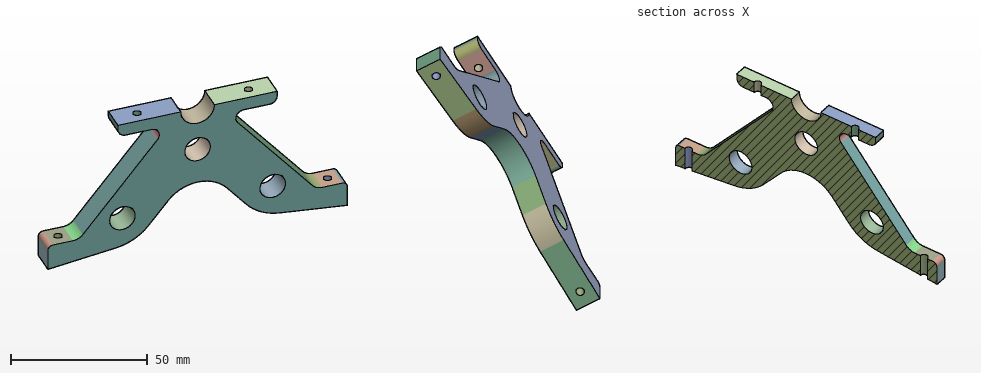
import cadquery as cq
import math

thickness = 10.0
span = 117.4
height = 57.0

leg_angle = 50.0
foot_height = 10.3
foot_inner_y = 46.5
platform_half_length = 31.2
platform_thickness = 5.0
arch_crown_z = 24.4
underside_angle = 6.5

arch_radius = 15.0
knee_radius = 20.0
foot_root_radius = 5.0
foot_tip_radius = 2.0
platform_root_radius = 3.0
platform_tip_radius = 3.0

notch_radius = 6.6
cross_hole_diameter = 10.0
center_hole_z = 39.0
leg_hole_y = 29.5
leg_hole_z = 15.6
screw_hole_diameter = 3.0
platform_screw_y = 21.8
foot_screw_y = 52.8

half_span = span / 2
leg_slope = math.tan(math.radians(leg_angle))
platform_bottom_z = height - platform_thickness
platform_root_y = foot_inner_y - (platform_bottom_z - foot_height) / leg_slope
arch_apex_z = arch_crown_z + arch_radius * (1 / math.cos(math.radians(leg_angle)) - 1)
underside_slope = math.tan(math.radians(underside_angle))
knee_y = (arch_apex_z - half_span * underside_slope) / (leg_slope - underside_slope)
knee_z = (half_span - knee_y) * underside_slope


def make_body():
    """Symmetric sharp-cornered plate, then rounded along its X edges."""
    half_corners = [
        (half_span, 0, 0),
        (half_span, foot_height, foot_tip_radius),
        (foot_inner_y, foot_height, foot_root_radius),
        (platform_root_y, platform_bottom_z, platform_root_radius),
        (platform_half_length, platform_bottom_z, platform_tip_radius),
        (platform_half_length, height, 0),
    ]
    knee = (knee_y, knee_z, knee_radius)
    apex = (0, arch_apex_z, arch_radius)
    right_side = [knee] + half_corners
    left_side = [(-y, z, radius) for y, z, radius in reversed(right_side)]
    corners = [apex] + right_side + left_side

    outline = [(y, z) for y, z, _ in corners]
    body = cq.Workplane("YZ", origin=(-thickness / 2, 0, 0)).polyline(outline).close().extrude(thickness)
    for y, z, radius in corners:
        if radius > 0:
            corner_edge = cq.selectors.NearestToPointSelector((0, y, z))
            body = body.edges("|X").edges(corner_edge).fillet(radius)
    return body


def cross_cylinder(radius, y, z):
    """Cylinder along X through the full plate thickness."""
    return cq.Workplane("YZ", origin=(-thickness / 2, 0, 0)).center(y, z).circle(radius).extrude(thickness)


def screw_hole(y, top_z, depth):
    """Vertical cylinder on the middle of the plate, going down from top_z."""
    return cq.Workplane("XY", origin=(0, y, top_z)).circle(screw_hole_diameter / 2).extrude(-depth)


result = make_body()

result = result.cut(cross_cylinder(notch_radius, 0, height))

for y, z in [(0, center_hole_z), (leg_hole_y, leg_hole_z), (-leg_hole_y, leg_hole_z)]:
    result = result.cut(cross_cylinder(cross_hole_diameter / 2, y, z))

for side in (-1, 1):
    result = result.cut(screw_hole(side * platform_screw_y, height, platform_thickness))
    result = result.cut(screw_hole(side * foot_screw_y, foot_height, foot_height))